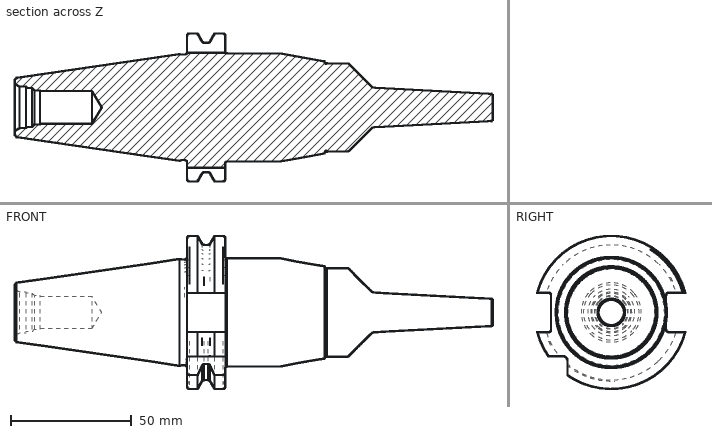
import cadquery as cq
import math


gauge_radius = 44.45 / 2
taper_ratio = 7 / 48
shank_length = 68.25
shank_end_chamfer = 0.8

neck_radius = 22.0
neck_start = 1.0
neck_fillet = 1.0

flange_start = 3.2
flange_end = 19.1
flange_radius = 63.55 / 2
flange_edge_fillet = 1.0
groove_center = 11.1
groove_opening = 7.0
groove_bottom_radius = 28.1
groove_fillet = 1.0
groove_half_angle = math.radians(30)

keyway_width = 16.3
keyway_floor_front = 25.0
keyway_floor_back = 22.8
notch_y = -18.2
notch_z = -18.2
keyway_corner_radius = 1.0
notch_corner_radius = 1.8

body_radius = 22.5
body_fillet = 0.6
body_end = 42.0
body_cone_end = 60.2
body_cone_end_radius = 19.2

parting_x = 60.75
parting_radius = 18.0
collar_start = 61.2
collar_radius = 18.4
collar_fillet = 1.0

shoulder_angle = math.radians(45)
nose_base = 80.1
nose_radius = 8.35
nose_fillet = 1.8
nose_tip = 130.0
nose_half_angle = math.radians(3)
nose_tip_chamfer = 0.5

mouth_radius = 9.7
mouth_half_angle = math.radians(30)
pilot_radius = 8.5
pilot_depth = 4.8
relief_radius = 8.0
relief_depth = 7.2
thread_radius = 7.0
thread_depth = 10.5
drill_radius = 6.7
drill_depth = 32.0
drill_half_angle = math.radians(59)


def revolve_about_x(profile):
    """Solid of revolution about X from a closed profile of (x, radius) points."""
    return profile.close().revolve(360, (0, 0, 0), (1, 0, 0))


def rounded_polyline(corners):
    """Outline through (x, radius, fillet) corners, rounding those with a fillet above zero."""
    outline = cq.Workplane("XY").moveTo(corners[0][0], corners[0][1])
    for before, corner, after in zip(corners, corners[1:], corners[2:]):
        x, radius, fillet = corner
        if fillet == 0:
            outline = outline.lineTo(x, radius)
            continue
        vertex = cq.Vector(x, radius)
        towards_before = (cq.Vector(before[0], before[1]) - vertex).normalized()
        towards_after = (cq.Vector(after[0], after[1]) - vertex).normalized()
        half_angle = towards_before.getAngle(towards_after) / 2
        tangent_length = fillet / math.tan(half_angle)
        bisector = (towards_before + towards_after).normalized()
        arc_start = vertex + towards_before * tangent_length
        arc_middle = vertex + bisector * (fillet / math.sin(half_angle) - fillet)
        arc_end = vertex + towards_after * tangent_length
        outline = outline.lineTo(arc_start.x, arc_start.y)
        outline = outline.threePointArc((arc_middle.x, arc_middle.y), (arc_end.x, arc_end.y))
    return outline.lineTo(corners[-1][0], corners[-1][1])


def turned_body():
    shank_end = -shank_length
    shank_end_radius = gauge_radius - shank_length * taper_ratio
    groove_depth = flange_radius - groove_bottom_radius
    groove_half_top = groove_opening / 2
    groove_half_bottom = groove_half_top - groove_depth * math.tan(groove_half_angle)
    tip_radius = nose_radius - (nose_tip - nose_base) * math.tan(nose_half_angle)
    collar_end = nose_base - (collar_radius - nose_radius) / math.tan(shoulder_angle)
    shank = [
        (shank_end, 0, 0),
        (shank_end, shank_end_radius - shank_end_chamfer, 0),
        (shank_end + shank_end_chamfer, shank_end_radius + shank_end_chamfer * taper_ratio, 0),
        (0, gauge_radius, 0),
        (neck_start, neck_radius, 0),
    ]
    flange = [
        (flange_start, neck_radius, neck_fillet),
        (flange_start, flange_radius, flange_edge_fillet),
        (groove_center - groove_half_top, flange_radius, 0),
        (groove_center - groove_half_bottom, groove_bottom_radius, groove_fillet),
        (groove_center + groove_half_bottom, groove_bottom_radius, groove_fillet),
        (groove_center + groove_half_top, flange_radius, 0),
        (flange_end, flange_radius, flange_edge_fillet),
    ]
    chuck = [
        (flange_end, body_radius, body_fillet),
        (body_end, body_radius, 0),
        (body_cone_end, body_cone_end_radius, 0),
        (parting_x, parting_radius, 0),
        (collar_start, collar_radius, 0),
        (collar_end, collar_radius, collar_fillet),
        (nose_base, nose_radius, nose_fillet),
        (nose_tip - nose_tip_chamfer, tip_radius, 0),
        (nose_tip, tip_radius - nose_tip_chamfer, 0),
        (nose_tip, 0, 0),
    ]
    return revolve_about_x(rounded_polyline(shank + flange + chuck))


def bore():
    mouth_depth = (mouth_radius - pilot_radius) / math.tan(mouth_half_angle)
    lead_in = relief_radius - thread_radius
    drill_point = drill_radius / math.tan(drill_half_angle)
    profile = cq.Workplane("XY").polyline([
        (0, 0),
        (0, mouth_radius),
        (mouth_depth, pilot_radius),
        (pilot_depth, pilot_radius),
        (pilot_depth, relief_radius),
        (relief_depth, relief_radius),
        (relief_depth + lead_in, thread_radius),
        (thread_depth, thread_radius),
        (thread_depth, drill_radius),
        (drill_depth, drill_radius),
        (drill_depth + drill_point, 0),
    ])
    return revolve_about_x(profile).translate((-shank_length, 0, 0))


def flange_slot(y_min, y_max, z_min, z_max, corner_radius):
    """Rounded-corner bar running along X through the whole flange."""
    return (
        cq.Workplane("XY")
        .box(flange_end - flange_start, y_max - y_min, z_max - z_min, centered=False)
        .edges("|X")
        .fillet(corner_radius)
        .translate((flange_start, y_min, z_min))
    )


def keyway(y_min, y_max):
    return flange_slot(y_min, y_max, -keyway_width / 2, keyway_width / 2, keyway_corner_radius)


cut_clearance = 5.0
beyond_flange = flange_radius + cut_clearance

result = (
    turned_body()
    .cut(bore())
    .cut(keyway(-beyond_flange, -keyway_floor_front))
    .cut(keyway(keyway_floor_back, beyond_flange))
    .cut(flange_slot(-beyond_flange, notch_y, -beyond_flange, notch_z, notch_corner_radius))
)